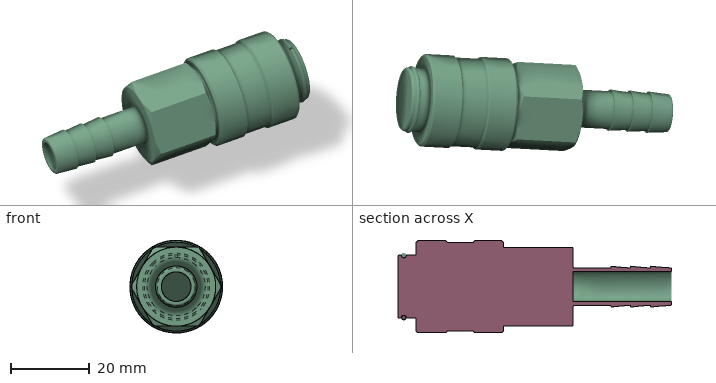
import cadquery as cq
import math

length = 69.5

stem_radius = 4.8
stem_length = 25.0
stem_root_fillet = 0.35
barb_radius = 10.5 / 2
barb_small_radius = 4.8
barb_pitch = 5.0
barb_count = 3
first_barb_end = 5.55
tip_fillet = 0.5
bore_radius = 3.75
bore_depth = stem_length

hex_across_flats = 20.0
hex_end = 42.0
hex_chamfer_angle = 30.0
hex_face_radius = hex_across_flats / 2

sleeve_start = 42.6
sleeve_end = 64.85
sleeve_radius = 11.75
sleeve_chamfer = 0.5
waist_radius = 11.25
waist_start = 50.4
waist_end = 56.85

neck_radius = 8.05
neck_fillet = 0.55
wire_radius = 0.55
ring_outer_radius = 8.5
ring_center_radius = ring_outer_radius - wire_radius
ring_y = 67.9
ring_gap = 0.55


def cylinder(radius, start, end):
    """Cylinder on the Y axis from y = start to y = end."""
    plane = cq.Workplane("XZ", origin=(0, start, 0))
    return plane.circle(radius).extrude(start - end)


def revolve_profile(profile):
    """Revolve a closed (radius, y) profile about the Y axis."""
    return profile.close().revolve(360, (0, 0, 0), (0, 1, 0))


def make_stem():
    """Barbed stem: each barb widens from the hose end to a sharp edge."""
    profile = cq.Workplane("XY").moveTo(0, 0).lineTo(barb_small_radius, 0)
    for index in range(barb_count):
        edge_y = first_barb_end + index * barb_pitch
        next_radius = barb_small_radius if index < barb_count - 1 else stem_radius
        profile = profile.lineTo(barb_radius, edge_y).lineTo(next_radius, edge_y)
    stem = revolve_profile(profile.lineTo(stem_radius, stem_length).lineTo(0, stem_length))
    return stem.faces("<Y").edges().fillet(tip_fillet)


def make_hexagon():
    """Hexagon with two corners on the X axis and both ends chamfered by a cone."""
    corner_diameter = hex_across_flats / math.cos(math.pi / 6)
    corner_radius = corner_diameter / 2
    plane = cq.Workplane("XZ", origin=(0, stem_length, 0))
    prism = plane.polygon(6, corner_diameter).extrude(stem_length - hex_end)

    chamfer_height = (corner_radius - hex_face_radius) * math.tan(math.radians(hex_chamfer_angle))
    envelope = revolve_profile(
        cq.Workplane("XY")
        .moveTo(0, stem_length)
        .lineTo(hex_face_radius, stem_length)
        .lineTo(corner_radius, stem_length + chamfer_height)
        .lineTo(corner_radius, hex_end - chamfer_height)
        .lineTo(hex_face_radius, hex_end)
        .lineTo(0, hex_end)
    )
    return prism.intersect(envelope)


def make_sleeve():
    """Sleeve whose two chamfered bands stand above a narrower waist."""
    waist_slope = sleeve_radius - waist_radius
    return revolve_profile(
        cq.Workplane("XY")
        .moveTo(0, sleeve_start)
        .lineTo(sleeve_radius - sleeve_chamfer, sleeve_start)
        .lineTo(sleeve_radius, sleeve_start + sleeve_chamfer)
        .lineTo(sleeve_radius, waist_start - waist_slope)
        .lineTo(waist_radius, waist_start)
        .lineTo(waist_radius, waist_end)
        .lineTo(sleeve_radius, waist_end + waist_slope)
        .lineTo(sleeve_radius, sleeve_end - sleeve_chamfer)
        .lineTo(sleeve_radius - sleeve_chamfer, sleeve_end)
        .lineTo(0, sleeve_end)
    )


def make_ring_torus():
    """Full round-wire torus at the place of the retaining ring."""
    section = cq.Workplane("XY").center(ring_center_radius, ring_y).circle(wire_radius)
    return section.revolve(360, (-ring_center_radius, 0, 0), (-ring_center_radius, 1, 0))


def make_neck():
    """Socket neck with a round groove that seats the retaining ring."""
    neck = cylinder(neck_radius, sleeve_end, length).faces(">Y").edges().fillet(neck_fillet)
    return neck.cut(make_ring_torus())


def make_coupling_body():
    collar = cylinder(hex_face_radius, hex_end, sleeve_start)
    body = make_stem().union(make_hexagon()).union(collar).union(make_sleeve()).union(make_neck())

    root_edge = cq.selectors.RadiusNthSelector(0)
    body = body.faces(cq.selectors.NearestToPointSelector((0, stem_length, 0))).edges(root_edge)
    body = body.fillet(stem_root_fillet)
    return body.cut(cylinder(bore_radius, 0, bore_depth))


def make_retaining_ring():
    """Split wire ring with its gap at +Z."""
    gap = cq.Workplane("XY", origin=(0, ring_y, 0)).box(
        ring_gap, 2 * wire_radius, ring_outer_radius, centered=(True, True, False)
    )
    return make_ring_torus().cut(gap)


coupling_body = make_coupling_body()
retaining_ring = make_retaining_ring()

result = cq.Compound.makeCompound([coupling_body.val(), retaining_ring.val()])